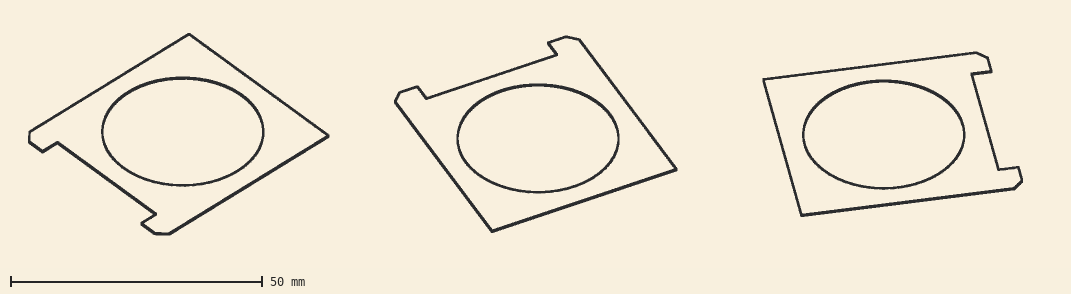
import cadquery as cq

width = 41.0
length = 45.0
thickness = 0.3
hole_diameter = 32.0
foot_width = 6.0
foot_length = 4.0
foot_chamfer = 2.0

front_y = -length / 2
notch_width = width - 2 * foot_width
hole_y = front_y + foot_length + (length - foot_length) / 2

plate = (
    cq.Workplane("XY")
    .box(width, length, thickness)
    .edges("|Z and <Y")
    .chamfer(foot_chamfer)
)

notch = (
    cq.Workplane("XY")
    .center(0, front_y)
    .rect(notch_width, 2 * foot_length)
    .extrude(thickness, both=True)
)

opening = (
    cq.Workplane("XY")
    .center(0, hole_y)
    .circle(hole_diameter / 2)
    .extrude(thickness, both=True)
)

result = plate.cut(notch).cut(opening)